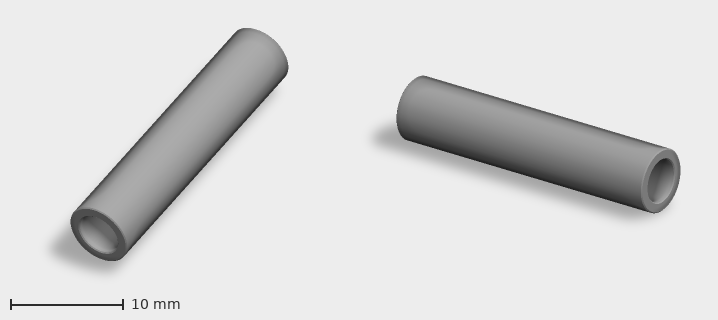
import cadquery as cq

length = 27.0
outer_diameter = 5.95
bore_diameter = 4.0
rim_chamfer = 0.1


def make_tube():
    """Plain tube along Y, centred on the origin."""
    end_plane = cq.Workplane("XZ", origin=(0, length / 2, 0))
    return end_plane.circle(outer_diameter / 2).circle(bore_diameter / 2).extrude(length)


def chamfer_rims(tube):
    """Break the outer and bore edges at both ends."""
    return tube.faces("<Y or >Y").edges().chamfer(rim_chamfer)


result = chamfer_rims(make_tube())